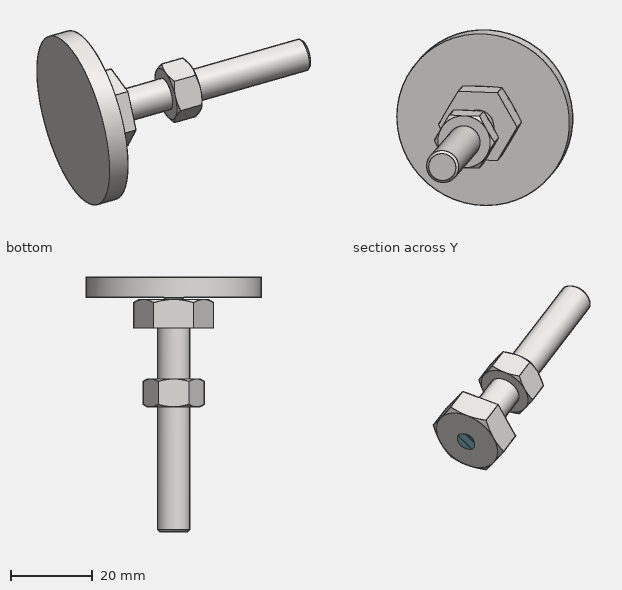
import cadquery as cq
import math

FOOT_DIAMETER = 43.0
FOOT_THICKNESS = 5.0

TOTAL_LENGTH = 62.5
ROD_DIAMETER = 8.0
ROD_TIP_CHAMFER = 0.6

HEAD_ACROSS_FLATS = 17.0
HEAD_THICKNESS = 7.0
HEAD_GAP = 0.5
NECK_FOOT_DIAMETER = 5.0
NECK_HEAD_DIAMETER = 4.0

NUT_ACROSS_FLATS = 13.0
NUT_THICKNESS = 6.8
NUT_HEAD_SPACING = 12.5

CORNER_CHAMFER_ANGLE = 30.0

HEAD_START = FOOT_THICKNESS + HEAD_GAP
HEAD_END = HEAD_START + HEAD_THICKNESS
NUT_START = HEAD_END + NUT_HEAD_SPACING


def plane_at(y):
    """Plane at height y along the axis, with X to local x and +Y as normal."""
    return cq.Plane(origin=(0, y, 0), xDir=(1, 0, 0), normal=(0, 1, 0))


def cylinder(diameter, start, length):
    return cq.Workplane(plane_at(start)).circle(diameter / 2).extrude(length)


def hexagon(across_flats, start, thickness, chamfer_far_end):
    """Hexagonal prism with corners on X, its corners turned down at the start
    and, if asked, at the far end too."""
    flat_radius = across_flats / 2
    corner_radius = flat_radius / math.cos(math.pi / 6)
    drop = (corner_radius - flat_radius) * math.tan(math.radians(CORNER_CHAMFER_ANGLE))
    end = start + thickness

    prism = cq.Workplane(plane_at(start)).polygon(6, 2 * corner_radius).extrude(thickness)
    profile = [(0, start), (flat_radius, start), (corner_radius, start + drop)]
    if chamfer_far_end:
        profile += [(corner_radius, end - drop), (flat_radius, end)]
    else:
        profile += [(corner_radius, end)]
    profile += [(0, end)]
    envelope = cq.Workplane("XY").polyline(profile).close().revolve(360, (0, 0), (0, 1))
    return prism.intersect(envelope)


def make_foot():
    return cylinder(FOOT_DIAMETER, 0, FOOT_THICKNESS)


def make_spindle():
    """Threaded rod, hexagon head and the flared neck that stands on the foot."""
    rod = cylinder(ROD_DIAMETER, HEAD_END, TOTAL_LENGTH - HEAD_END)
    rod = rod.faces(">Y").chamfer(ROD_TIP_CHAMFER)
    head = hexagon(HEAD_ACROSS_FLATS, HEAD_START, HEAD_THICKNESS, chamfer_far_end=False)
    neck = (
        cq.Workplane(plane_at(FOOT_THICKNESS))
        .circle(NECK_FOOT_DIAMETER / 2)
        .workplane(offset=HEAD_GAP)
        .circle(NECK_HEAD_DIAMETER / 2)
        .loft()
    )
    return head.union(rod).union(neck)


def make_nut():
    blank = hexagon(NUT_ACROSS_FLATS, NUT_START, NUT_THICKNESS, chamfer_far_end=True)
    return blank.cut(cylinder(ROD_DIAMETER, NUT_START, NUT_THICKNESS))


foot = make_foot()
spindle = make_spindle()
nut = make_nut()

result = cq.Compound.makeCompound([foot.val(), spindle.val(), nut.val()])